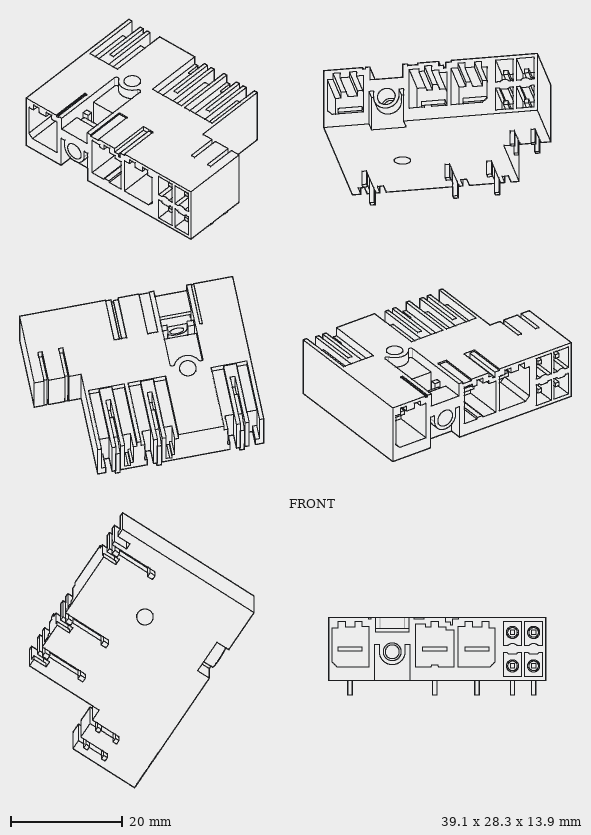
import cadquery as cq
import math

width = 39.07
depth = 28.3
height = 11.35
tail_length = 2.6

left_power_x = 3.85
right_power_x = 26.7
pitch = (right_power_x - left_power_x) / 3
middle_power_x = left_power_x + 2 * pitch
signal_pitch = pitch / 2
first_signal_x = 33.05
signal_x = [first_signal_x, first_signal_x + signal_pitch]

power_block_width = 30.47
signal_block_depth = 13.3

cavity_depth = 7.9
cavity_floor = 2.5
cavity_roof = 9.65
key_top = 10.65
outer_reach = 3.2
inner_reach = 3.4
key_inner = 0.85
key_outer = 2.15
outer_roof = 9.5
inner_roof = 9.75
floor_chamfer = 0.85
middle_cavity_half = 3.45
high_roof = 10.2
high_roof_x = 1.68
low_roof = 9.05
low_roof_x = 2.0
middle_key_half = 0.65
floor_rib_height = 0.3
floor_rib_top_half = 0.55

blade_width = 4.35
blade_thickness = 0.8
blade_z = 5.7
blade_tip_y = 5.08
web_thickness = 0.85
web_front_y = 19.03
web_back_y = 27.7
leg_depth = 1.05
web_underside = 3.13
hump_front_y = 21.53
hump_back_y = 25.4
hump_top = 8.67
web_back_top = 6.33

pocket_front_y = 16.65
pocket_floor = 9.65
pocket_reach = 3.45
wall_side_reach = 3.1
fin_half = 1.17
fin_top = 11.05
notch_front_y = 25.65
notch_reach = 2.75
opening_reach = 2.3
ledge_z = cavity_floor
seat_ledge_width = 0.45
seat_flat_width = 0.63
seat_low_z = 1.17
seat_high_z = 1.35
seat_sag = 0.05

signal_cavity_width = 3.2
signal_cavity_depth = 6.25
upper_cavity_bottom = 6.33
upper_cavity_top = 10.65
lower_cavity_bottom = 0.75
lower_cavity_top = 5.08
upper_pin_z = 8.67
lower_pin_z = 2.65
pin_size = 0.8
pin_tip_y = 1.3
upper_leg_back_y = 12.15
lower_leg_front_y = 7.58
collar_base_radius = 1.1
collar_tip_radius = 0.85
collar_length = 0.4
upper_bump_half = 0.82
upper_bump_height = 0.35
lower_bump_base_half = 0.98
lower_bump_tip_half = 0.65
lower_bump_height = 0.3

flange_x = 11.45
flange_z = 5.2
channel_half = 3.0
channel_floor = 8.8
platform_front_y = 8.75
platform_z = 9.38
nut_pocket_front_y = 4.15
saddle_front_y = 5.9
saddle_back_y = 6.88
saddle_radius = 1.85
recess_half = 3.15
recess_top = 6.5
recess_depth = 2.55
boss_radius = 2.3
screw_hole_radius = 1.6
mount_hole_y = 15.95
mount_hole_radius = 1.5
mount_boss_radius = 2.5
channel_corner_radius = 0.43

nut_width = 5.5
nut_height = 5.25
nut_front_y = 4.3
nut_bore_radius = 1.25

groove_depth = 0.3
groove_length = 7.9
left_groove_x = (7.15, 7.6)
middle_groove_x = (15.3, 17.2)
stepped_groove_x = (21.02, 23.32)
stepped_groove_deep_x = (21.88, 22.3)
stepped_groove_shelf = 0.85
stepped_groove_depth = 1.4


def box(x0, x1, y0, y1, z0, z1):
    return cq.Workplane("XY").box(x1 - x0, y1 - y0, z1 - z0, centered=False).translate((x0, y0, z0))


def from_front(outline, y0, y1):
    """Extrude a closed XZ outline from y0 back to y1."""
    return outline.extrude(-(y1 - y0)).translate((0, y0, 0))


def front_cylinder(x, z, radius, y0, y1):
    return from_front(cq.Workplane("XZ").center(x, z).circle(radius), y0, y1)


def end_cavity(center_x, outer_side):
    """Coded cavity with a floor chamfer; outer_side is -1 or +1 along X."""
    outline = [
        (outer_reach, cavity_floor + floor_chamfer),
        (outer_reach, outer_roof),
        (key_outer, outer_roof),
        (key_outer, key_top),
        (key_inner, key_top),
        (key_inner, cavity_roof),
        (-key_inner, cavity_roof),
        (-key_inner, key_top),
        (-key_outer, key_top),
        (-key_outer, inner_roof),
        (-inner_reach, inner_roof),
        (-inner_reach, cavity_floor),
        (outer_reach - floor_chamfer, cavity_floor),
    ]
    points = [(center_x + outer_side * x, z) for x, z in outline]
    return from_front(cq.Workplane("XZ").polyline(points).close(), 0, cavity_depth)


def middle_cavity():
    outline = [
        (-middle_cavity_half, cavity_floor),
        (-middle_cavity_half, high_roof),
        (-high_roof_x, high_roof),
        (-high_roof_x, cavity_roof),
        (-middle_key_half, cavity_roof),
        (-middle_key_half, key_top),
        (middle_key_half, key_top),
        (middle_key_half, cavity_roof),
        (low_roof_x, cavity_roof),
        (low_roof_x, low_roof),
        (middle_cavity_half, low_roof),
        (middle_cavity_half, cavity_floor),
        (middle_key_half, cavity_floor),
        (floor_rib_top_half, cavity_floor + floor_rib_height),
        (-floor_rib_top_half, cavity_floor + floor_rib_height),
        (-middle_key_half, cavity_floor),
    ]
    points = [(middle_power_x + x, z) for x, z in outline]
    return from_front(cq.Workplane("XZ").polyline(points).close(), 0, cavity_depth)


def open_notch(center_x, side, reach):
    """Rear notch beside the fin: open to the underside, with a ledge at its outer end."""
    fin_x = center_x + side * fin_half
    open_x = center_x + side * opening_reach
    ledge_x = center_x + side * reach
    through = box(min(fin_x, open_x), max(fin_x, open_x), notch_front_y, depth, 0, height)
    above_ledge = box(min(fin_x, ledge_x), max(fin_x, ledge_x), notch_front_y, depth, ledge_z, height)
    return through.union(above_ledge)


def seat_notch(center_x):
    """Rear notch left of the fin with a closed floor: ledge, hollow and flat."""
    outer_x = center_x - notch_reach
    ledge_end_x = outer_x + seat_ledge_width
    fin_x = center_x - fin_half
    flat_x = fin_x - seat_flat_width
    outline = (
        cq.Workplane("XZ")
        .moveTo(outer_x, height)
        .lineTo(outer_x, ledge_z)
        .lineTo(ledge_end_x, ledge_z)
        .lineTo(ledge_end_x, seat_low_z)
        .threePointArc(
            ((ledge_end_x + flat_x) / 2, (seat_low_z + seat_high_z) / 2 - seat_sag),
            (flat_x, seat_high_z),
        )
        .lineTo(fin_x, seat_high_z)
        .lineTo(fin_x, height)
        .close()
    )
    return from_front(outline, notch_front_y, depth)


def rear_pocket(center_x, left_reach, right_reach):
    """Open pocket with a lower central fin, slotted for the web of the contact."""
    pocket = box(center_x - left_reach, center_x + right_reach, pocket_front_y, depth, pocket_floor, height)
    fin = box(center_x - fin_half, center_x + fin_half, pocket_front_y, depth, pocket_floor, fin_top)
    half_web = web_thickness / 2
    web_slot = box(center_x - half_web, center_x + half_web, web_front_y, depth, 0, height)
    return pocket.cut(fin).union(web_slot)


def blade_slot(center_x):
    half_width = blade_width / 2
    half_thickness = blade_thickness / 2
    return box(
        center_x - half_width, center_x + half_width,
        cavity_depth, web_front_y,
        blade_z - half_thickness, blade_z + half_thickness,
    )


def coding_grooves():
    shallow_z = height - groove_depth
    shelf_z = height - stepped_groove_shelf
    deep_z = height - stepped_groove_depth
    left = box(*left_groove_x, 0, groove_length, shallow_z, height)
    middle = box(*middle_groove_x, 0, groove_length, shallow_z, height)
    left_x, right_x = stepped_groove_x
    deep_left_x, deep_right_x = stepped_groove_deep_x
    stepped_points = [
        (left_x, height),
        (left_x, shelf_z),
        (deep_left_x, shelf_z),
        (deep_left_x, deep_z),
        (deep_right_x, deep_z),
        (deep_right_x, shallow_z),
        (right_x, shallow_z),
        (right_x, height),
    ]
    stepped = from_front(cq.Workplane("XZ").polyline(stepped_points).close(), 0, groove_length)
    return left.union(middle).union(stepped)


def flange_channel():
    """Top channel, ending in a round boss around the mounting hole."""
    left_x = flange_x - channel_half
    right_x = flange_x + channel_half
    low_channel = box(left_x, right_x, 0, platform_front_y, channel_floor, height)

    center_distance = mount_boss_radius + channel_corner_radius
    corner_x = channel_half - channel_corner_radius
    corner_y = mount_hole_y - math.sqrt(center_distance**2 - corner_x**2)
    boss_share = mount_boss_radius / center_distance
    tangent_x = corner_x * boss_share
    tangent_y = mount_hole_y + (corner_y - mount_hole_y) * boss_share
    sweep_angle = math.atan2(tangent_y - corner_y, tangent_x - corner_x)
    bulge_x = corner_x + channel_corner_radius * math.cos(sweep_angle / 2)
    bulge_y = corner_y + channel_corner_radius * math.sin(sweep_angle / 2)
    high_channel = (
        cq.Workplane("XY", origin=(flange_x, 0, platform_z))
        .moveTo(-channel_half, platform_front_y)
        .lineTo(channel_half, platform_front_y)
        .lineTo(channel_half, corner_y)
        .threePointArc((bulge_x, bulge_y), (tangent_x, tangent_y))
        .threePointArc((0, mount_hole_y - mount_boss_radius), (-tangent_x, tangent_y))
        .threePointArc((-bulge_x, bulge_y), (-channel_half, corner_y))
        .close()
        .extrude(height - platform_z)
    )

    pocket_floor_z = flange_z - nut_height / 2
    nut_pocket = box(left_x, right_x, nut_pocket_front_y, saddle_front_y, pocket_floor_z, height)
    back_pocket = box(left_x, right_x, saddle_back_y, platform_front_y, pocket_floor_z, height)
    saddle_round = front_cylinder(flange_x, flange_z, saddle_radius, saddle_front_y, saddle_back_y)
    saddle_throat = box(
        flange_x - saddle_radius, flange_x + saddle_radius,
        saddle_front_y, saddle_back_y, flange_z, height,
    )
    cutter = low_channel.union(high_channel)
    for piece in (nut_pocket, back_pocket, saddle_round, saddle_throat):
        cutter = cutter.union(piece)
    return cutter


def flange_recess():
    """Recess in the mating face around the U-shaped screw boss."""
    recess = box(flange_x - recess_half, flange_x + recess_half, 0, recess_depth, 0, recess_top)
    boss_round = front_cylinder(flange_x, flange_z, boss_radius, 0, recess_depth)
    boss_sides = box(
        flange_x - boss_radius, flange_x + boss_radius, 0, recess_depth, flange_z, recess_top
    )
    return recess.cut(boss_round).cut(boss_sides)


def collar(x, z):
    """Conical collar around a pin on the back wall of its cavity."""
    return (
        cq.Workplane("XZ", origin=(x, signal_cavity_depth, z))
        .circle(collar_base_radius)
        .workplane(offset=collar_length)
        .circle(collar_tip_radius)
        .loft()
    )


def signal_cavities(x):
    left_x = x - signal_cavity_width / 2
    right_x = x + signal_cavity_width / 2
    upper = (
        cq.Workplane("XZ")
        .moveTo(left_x, upper_cavity_bottom)
        .lineTo(x - upper_bump_half, upper_cavity_bottom)
        .threePointArc(
            (x, upper_cavity_bottom + upper_bump_height),
            (x + upper_bump_half, upper_cavity_bottom),
        )
        .lineTo(right_x, upper_cavity_bottom)
        .lineTo(right_x, upper_cavity_top)
        .lineTo(left_x, upper_cavity_top)
        .close()
    )
    lower_points = [
        (left_x, lower_cavity_bottom),
        (right_x, lower_cavity_bottom),
        (right_x, lower_cavity_top),
        (x + lower_bump_base_half, lower_cavity_top),
        (x + lower_bump_tip_half, lower_cavity_top - lower_bump_height),
        (x - lower_bump_tip_half, lower_cavity_top - lower_bump_height),
        (x - lower_bump_base_half, lower_cavity_top),
        (left_x, lower_cavity_top),
    ]
    lower = cq.Workplane("XZ").polyline(lower_points).close()
    cutter = from_front(upper, 0, signal_cavity_depth)
    cutter = cutter.union(from_front(lower, 0, signal_cavity_depth))
    return cutter.cut(collar(x, upper_pin_z)).cut(collar(x, lower_pin_z))


def signal_slots(x):
    """Rear slot for the pin legs and square holes for the pins."""
    half = pin_size / 2
    cutter = box(x - half, x + half, lower_leg_front_y, signal_block_depth, 0, height)
    for z in (upper_pin_z, lower_pin_z):
        hole = box(
            x - half, x + half,
            signal_cavity_depth - collar_length, lower_leg_front_y,
            z - half, z + half,
        )
        cutter = cutter.union(hole)
    return cutter


def make_housing():
    body = box(0, power_block_width, 0, depth, 0, height)
    body = body.union(box(power_block_width, width, 0, signal_block_depth, 0, height))

    body = body.cut(end_cavity(left_power_x, -1))
    body = body.cut(middle_cavity())
    body = body.cut(end_cavity(right_power_x, 1))

    body = body.cut(rear_pocket(left_power_x, wall_side_reach, pocket_reach))
    body = body.cut(rear_pocket(middle_power_x, pocket_reach, pocket_reach))
    body = body.cut(rear_pocket(right_power_x, pocket_reach, wall_side_reach))
    body = body.cut(open_notch(left_power_x, -1, wall_side_reach))
    body = body.cut(open_notch(left_power_x, 1, notch_reach))
    body = body.cut(seat_notch(middle_power_x))
    body = body.cut(open_notch(middle_power_x, 1, notch_reach))
    body = body.cut(seat_notch(right_power_x))
    body = body.cut(open_notch(right_power_x, 1, wall_side_reach))
    for x in (left_power_x, middle_power_x, right_power_x):
        body = body.cut(blade_slot(x))

    for x in signal_x:
        body = body.cut(signal_cavities(x))
        body = body.cut(signal_slots(x))

    body = body.cut(coding_grooves())
    body = body.cut(flange_channel())
    body = body.cut(flange_recess())
    body = body.cut(front_cylinder(flange_x, flange_z, screw_hole_radius, 0, nut_pocket_front_y))
    mount_hole = cq.Workplane("XY").center(flange_x, mount_hole_y).circle(mount_hole_radius)
    return body.cut(mount_hole.extrude(height))


def make_power_contact(x):
    """Flat blade joined to an upright web with two solder legs."""
    blade_top = blade_z + blade_thickness / 2
    blade = box(
        x - blade_width / 2, x + blade_width / 2,
        blade_tip_y, web_front_y,
        blade_z - blade_thickness / 2, blade_top,
    )
    web_points = [
        (web_front_y, -tail_length),
        (web_front_y, blade_top),
        (hump_front_y, blade_top),
        (hump_front_y, hump_top),
        (hump_back_y, hump_top),
        (web_back_y, web_back_top),
        (web_back_y, -tail_length),
        (web_back_y - leg_depth, -tail_length),
        (web_back_y - leg_depth, web_underside),
        (web_front_y + leg_depth, web_underside),
        (web_front_y + leg_depth, -tail_length),
    ]
    web = (
        cq.Workplane("YZ", origin=(x - web_thickness / 2, 0, 0))
        .polyline(web_points)
        .close()
        .extrude(web_thickness)
    )
    return blade.union(web)


def make_signal_pin(x, z, leg_back_y):
    """Square pin bent down into a solder leg."""
    half = pin_size / 2
    bar = box(x - half, x + half, pin_tip_y, leg_back_y, z - half, z + half)
    leg = box(x - half, x + half, leg_back_y - pin_size, leg_back_y, -tail_length, z + half)
    return bar.union(leg)


def make_nut():
    half_width = nut_width / 2
    half_height = nut_height / 2
    plate = box(
        flange_x - half_width, flange_x + half_width,
        nut_front_y, saddle_front_y,
        flange_z - half_height, flange_z + half_height,
    )
    return plate.cut(front_cylinder(flange_x, flange_z, nut_bore_radius, nut_front_y, saddle_front_y))


housing = make_housing()
nut = make_nut()

power_contacts = []
for contact_x in (left_power_x, middle_power_x, right_power_x):
    power_contacts.append(make_power_contact(contact_x).val())

signal_pins = []
for pin_x in signal_x:
    signal_pins.append(make_signal_pin(pin_x, upper_pin_z, upper_leg_back_y).val())
    signal_pins.append(make_signal_pin(pin_x, lower_pin_z, lower_leg_front_y + pin_size).val())

result = cq.Compound.makeCompound([housing.val(), nut.val(), *power_contacts, *signal_pins])